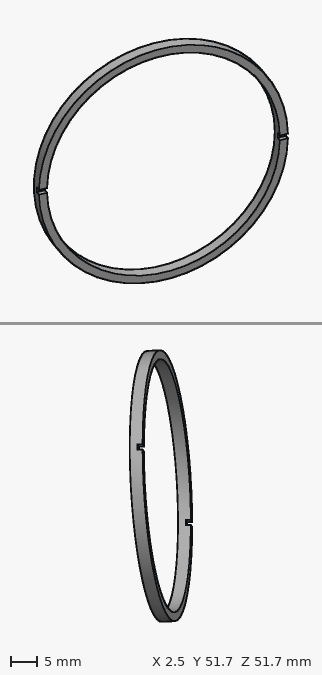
import cadquery as cq

outer_diameter = 51.7
inner_diameter = 48.3
ring_width = 2.5
notch_width = 1.05
notch_depth = 1.0

ring = (
    cq.Workplane("YZ", origin=(-ring_width / 2, 0, 0))
    .circle(outer_diameter / 2)
    .circle(inner_diameter / 2)
    .extrude(ring_width)
)

notch_bar = (
    cq.Workplane("XY")
    .box(notch_depth, outer_diameter, notch_width)
    .translate(((ring_width - notch_depth) / 2, 0, 0))
)

result = ring.cut(notch_bar)